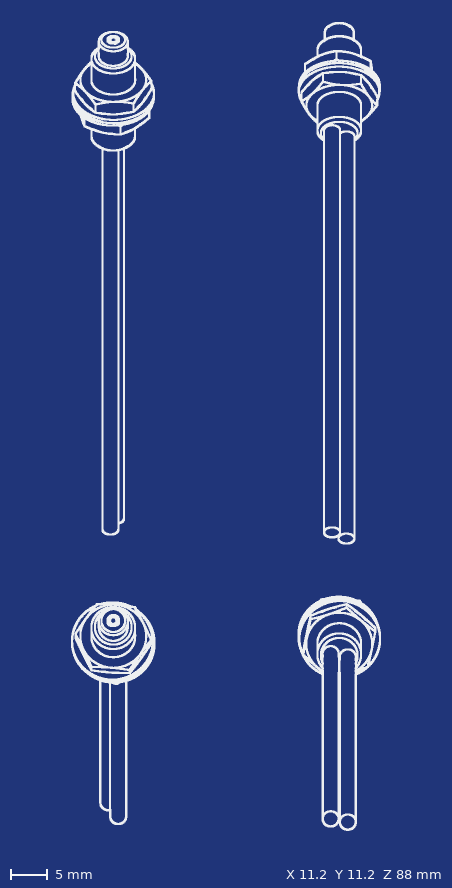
import cadquery as cq
import math

total_length = 88.0
tip_diameter = 4.0
tip_length = 3.0
tip_chamfer = 0.35
barrel_diameter = 6.0
barrel_end_diameter = 5.0
barrel_length = 15.0
barrel_chamfer = (barrel_diameter - barrel_end_diameter) / 2
barrel_top = total_length - tip_length
barrel_bottom = barrel_top - barrel_length
cable_diameter = 2.2
cable_spacing = 2.4

recess_diameter = 1.6
core_diameter = 1.0
recess_depth = 0.4

washer_diameter = 11.0
washer_thickness = 0.6
washer_shift = 0.1
nut_across_flats = 9.0
nut_height = 2.3
nut_top = 80.7
nut_chamfer_angle = 30.0
upper_nut_turn = 21.0
lower_nut_turn = 0.0

upper_washer_top = nut_top - nut_height
lower_washer_top = upper_washer_top - washer_thickness
lower_nut_top = lower_washer_top - washer_thickness

washer_bore = barrel_diameter + 2 * math.hypot(washer_shift, washer_shift)


def cylinder(diameter, bottom, height):
    return cq.Workplane("XY").workplane(offset=bottom).circle(diameter / 2).extrude(height)


def make_sensor():
    barrel = cylinder(barrel_diameter, barrel_bottom, barrel_length)
    barrel = barrel.faces("<Z or >Z").chamfer(barrel_chamfer)
    tip = cylinder(tip_diameter, barrel_top, tip_length).faces(">Z").chamfer(tip_chamfer)
    recess_bottom = total_length - recess_depth
    recess = cylinder(recess_diameter, recess_bottom, recess_depth)
    core = cylinder(core_diameter, recess_bottom, recess_depth)
    sensor = barrel.union(tip).cut(recess.cut(core))
    for side in (-1, 1):
        cable = cylinder(cable_diameter, 0, barrel_bottom)
        sensor = sensor.union(cable.translate((0, side * cable_spacing / 2, 0)))
    return sensor


def make_nut(top, turn):
    """Hexagon nut with conically chamfered corners; turn is the angle of one corner from +X."""
    corner_radius = nut_across_flats / math.sqrt(3)
    flat_radius = nut_across_flats / 2
    chamfer_drop = (corner_radius - flat_radius) * math.tan(math.radians(nut_chamfer_angle))
    hexagon = cq.Workplane("XY").polygon(6, 2 * corner_radius).extrude(nut_height)
    chamfer_envelope = (
        cq.Workplane("XZ")
        .moveTo(0, 0)
        .lineTo(flat_radius, 0)
        .lineTo(corner_radius, chamfer_drop)
        .lineTo(corner_radius, nut_height - chamfer_drop)
        .lineTo(flat_radius, nut_height)
        .lineTo(0, nut_height)
        .close()
        .revolve(360, (0, 0, 0), (0, 1, 0))
    )
    nut = hexagon.intersect(chamfer_envelope).cut(cylinder(barrel_diameter, 0, nut_height))
    return nut.rotate((0, 0, 0), (0, 0, 1), turn).translate((0, 0, top - nut_height))


def make_washer(top, shift):
    """Plain washer, moved off the barrel axis by shift along +X and -Y."""
    bottom = top - washer_thickness
    washer = cylinder(washer_diameter, bottom, washer_thickness)
    washer = washer.cut(cylinder(washer_bore, bottom, washer_thickness))
    return washer.translate((shift, -shift, 0))


sensor = make_sensor()
nuts = [
    make_nut(top, turn)
    for top, turn in ((nut_top, upper_nut_turn), (lower_nut_top, lower_nut_turn))
]
washers = [
    make_washer(upper_washer_top, washer_shift),
    make_washer(lower_washer_top, -washer_shift),
]

result = cq.Compound.makeCompound(
    [sensor.val(), *[nut.val() for nut in nuts], *[washer.val() for washer in washers]]
)